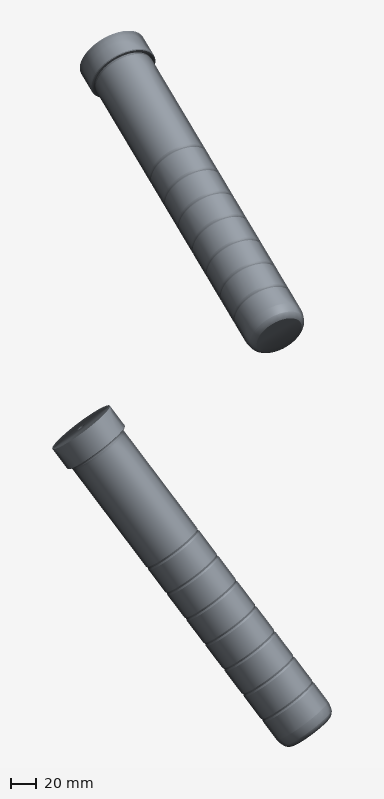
import cadquery as cq
import math

length = 300.0
head_diameter = 56.0
head_radius = head_diameter / 2
head_length = 20.0
head_chamfer = 0.5
shaft_diameter = 50.0
shaft_radius = shaft_diameter / 2

relief_width = 1.8
relief_depth = 0.3
relief_ramp_length = 0.5

groove_count = 7
groove_first = 0.4 * length
groove_pitch = length / 12
groove_width = 3.0
groove_depth = 0.75

nose_length = 10.8
nose_arc_length = 7.2
nose_arc_radius = 16.2
end_face_radius = 19.5

centre_mouth_diameter = 6.5
centre_pilot_diameter = 3.0
centre_pilot_length = 3.3
centre_cone_angle = 60.0
centre_tip_angle = 120.0


def cone_length(radius_change, included_angle):
    """Axial length of a cone with the given change of radius and included angle."""
    return radius_change / math.tan(math.radians(included_angle / 2))


def make_blank():
    """Head, shaft and rounded nose revolved about the X axis."""
    relief_radius = shaft_radius - relief_depth
    relief_end = head_length + relief_width
    nose_start = length - nose_length
    bend_angle = math.asin(nose_arc_length / nose_arc_radius)
    bend_x = nose_start + nose_arc_length
    bend_radius = shaft_radius - nose_arc_radius * (1 - math.cos(bend_angle))
    return (
        cq.Workplane("XY")
        .lineTo(0, head_radius)
        .lineTo(head_length - head_chamfer, head_radius)
        .lineTo(head_length, head_radius - head_chamfer)
        .lineTo(head_length, relief_radius)
        .lineTo(relief_end - relief_ramp_length, relief_radius)
        .lineTo(relief_end, shaft_radius)
        .lineTo(nose_start, shaft_radius)
        .tangentArcPoint((bend_x, bend_radius), relative=False)
        .tangentArcPoint((length, end_face_radius), relative=False)
        .lineTo(length, 0)
        .close()
        .revolve(360, (0, 0, 0), (1, 0, 0))
    )


def make_groove(centre_x):
    """Ring with a triangular section that cuts one V groove."""
    root_radius = shaft_radius - groove_depth
    cutter_radius = shaft_radius + groove_depth
    return (
        cq.Workplane("XY")
        .moveTo(centre_x, root_radius)
        .lineTo(centre_x + groove_width, cutter_radius)
        .lineTo(centre_x - groove_width, cutter_radius)
        .close()
        .revolve(360, (0, 0, 0), (1, 0, 0))
    )


def make_centre_hole():
    """Conical mouth, cylindrical pilot and conical drill tip."""
    mouth_radius = centre_mouth_diameter / 2
    pilot_radius = centre_pilot_diameter / 2
    mouth_depth = cone_length(mouth_radius - pilot_radius, centre_cone_angle)
    pilot_depth = mouth_depth + centre_pilot_length
    tip_depth = pilot_depth + cone_length(pilot_radius, centre_tip_angle)
    return (
        cq.Workplane("XY")
        .lineTo(0, mouth_radius)
        .lineTo(mouth_depth, pilot_radius)
        .lineTo(pilot_depth, pilot_radius)
        .lineTo(tip_depth, 0)
        .close()
        .revolve(360, (0, 0, 0), (1, 0, 0))
    )


result = make_blank().cut(make_centre_hole())
for index in range(groove_count):
    result = result.cut(make_groove(groove_first + index * groove_pitch))